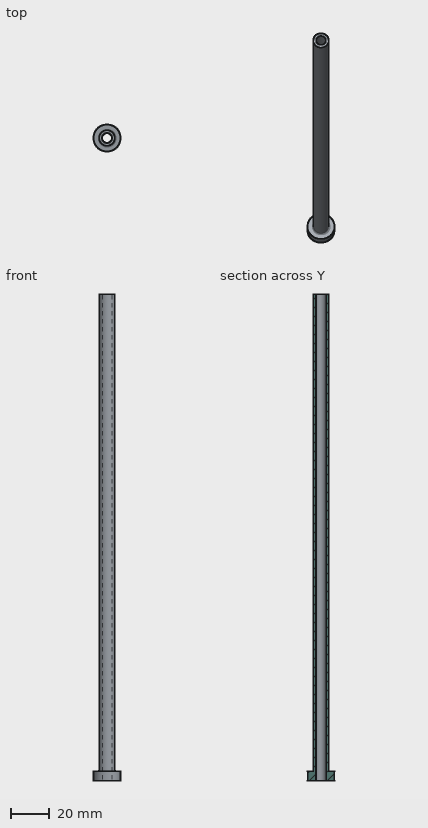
import cadquery as cq

total_length = 250.0
head_diameter = 14.0
head_height = 5.0
tube_diameter = 8.0
bore_diameter = 5.0
neck_fillet = 0.5

head = cq.Workplane("XY").circle(head_diameter / 2).extrude(head_height)
tube = cq.Workplane("XY").circle(tube_diameter / 2).extrude(total_length)
body = head.union(tube)

neck_edge = cq.selectors.RadiusNthSelector(0)
body = body.faces("<Z[1]").edges(neck_edge).fillet(neck_fillet)

bore = cq.Workplane("XY").circle(bore_diameter / 2).extrude(total_length)
result = body.cut(bore)